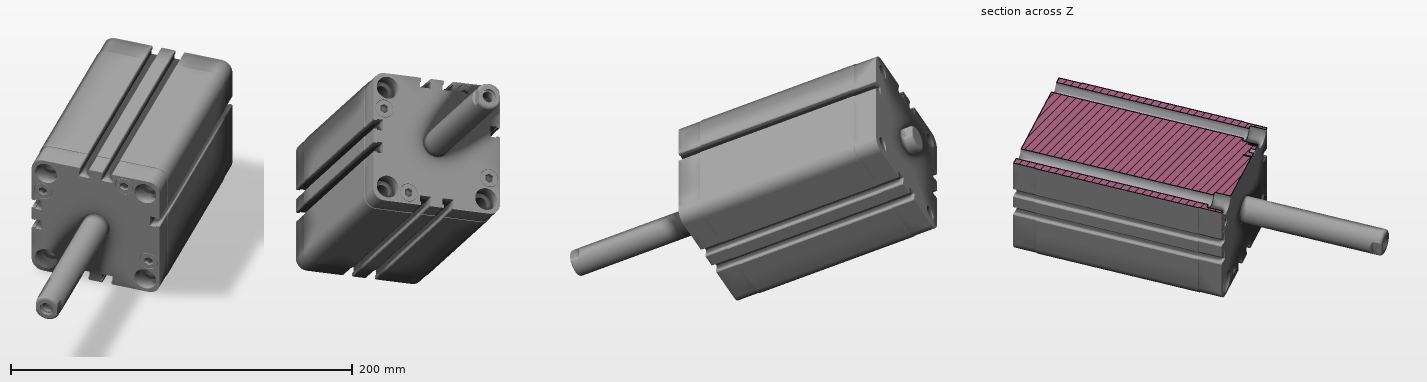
import cadquery as cq
import math

overall_length = 225
cap_length = 14.5
tube_length = 101.0
body_length = tube_length + 2 * cap_length
tube_width = 80.0
cap_width = 79.5
cap_corner_radius = 7.0
tube_corner_radius = cap_corner_radius + (tube_width - cap_width) / 2

rod_diameter = 16.0
rear_rod_length = 7.5
front_rod_length = overall_length - body_length - rear_rod_length
rod_end_radius = 1.8
flat_width = 13.0
flat_length = 5.5
rod_bore_diameter = 17.5
rod_bore_depth = 1.0

thread_diameter = 6.8
thread_depth = 12.0
thread_mouth_diameter = 8.3
thread_mouth_depth = 2.0
drill_point_angle = 118

corner_hole_offset = 30.8
corner_hole_diameter = 8.5
corner_bore_diameter = 13.5
corner_bore_depth = 10.0

screw_near_offset = 17.5
screw_far_offset = 32.8
screw_head_diameter = 10.5
screw_recess_diameter = 11.0
screw_recess_depth = 6.0
hex_across_flats = 5.0
hex_depth = 3.0

slot_mouth_width = 5.5
slot_width = 6.8
slot_lip = 2.5
slot_depth = 6.3
slot_chamfer = 0.5
slot_rib_width = 8.8
slot_pair_offset = (slot_rib_width + slot_mouth_width) / 2
single_slot_offset = 11.7

sensor_slots = [
    (offset, turn)
    for turn in (0, 180, -90)
    for offset in (-slot_pair_offset, slot_pair_offset)
]
sensor_slots.append((-single_slot_offset, 90))

cut_margin = 2.2


def plane_at(y):
    """XZ sketch plane at the given Y; extrusions run toward +Y."""
    return cq.Workplane(cq.Plane(origin=(0, y, 0), xDir=(1, 0, 0), normal=(0, -1, 0)))


def sensor_slot(offset, turn, face_height, start, length):
    """T-slot in the top side at X = offset, turned about the cylinder axis by turn degrees.

    face_height is the Z of the face whose mouth edges are chamfered.
    """
    floor = tube_width / 2 - slot_depth
    ledge = tube_width / 2 - slot_lip
    top = face_height + cut_margin
    half_slot = slot_width / 2
    half_mouth = slot_mouth_width / 2
    half_chamfer = half_mouth + slot_chamfer
    right_half = [
        (half_slot, floor),
        (half_slot, ledge),
        (half_mouth, ledge),
        (half_mouth, face_height - slot_chamfer),
        (half_chamfer, face_height),
        (half_chamfer, top),
    ]
    left_half = [(-x, z) for x, z in reversed(right_half)]
    outline = [(offset + x, z) for x, z in right_half + left_half]
    slot = plane_at(start).polyline(outline).close().extrude(-length)
    return slot.rotate((0, 0, 0), (0, 1, 0), turn)


def slotted_block(width, radius, start, length):
    """Square block along Y with rounded long edges and the sensor slots in its sides."""
    block = plane_at(start).rect(width, width).extrude(-length).edges("|Y").fillet(radius)
    for offset, turn in sensor_slots:
        block = block.cut(sensor_slot(offset, turn, width / 2, start, length))
    return block


def cylinder_body():
    tube = slotted_block(tube_width, tube_corner_radius, cap_length, tube_length)
    front_cap = slotted_block(cap_width, cap_corner_radius, 0, cap_length)
    rear_cap = slotted_block(cap_width, cap_corner_radius, cap_length + tube_length, cap_length)
    return tube.union(front_cap).union(rear_cap)


def mounting_holes():
    """Counterbored through holes in the four corners."""
    pitch = 2 * corner_hole_offset
    holes = plane_at(0).rect(pitch, pitch, forConstruction=True).vertices()
    through = holes.circle(corner_hole_diameter / 2).extrude(-body_length)
    bores = holes.circle(corner_bore_diameter / 2).extrude(-corner_bore_depth)
    return through.union(bores)


def screw_recess(turn):
    """Material removed around a socket head screw: a thin ring and the hexagon socket."""
    centre = plane_at(0).center(screw_near_offset, screw_far_offset)
    ring = (
        centre.circle(screw_recess_diameter / 2)
        .circle(screw_head_diameter / 2)
        .extrude(-screw_recess_depth)
    )
    hex_across_corners = hex_across_flats / math.cos(math.radians(30))
    socket = (
        plane_at(0)
        .transformed(offset=(screw_near_offset, screw_far_offset, 0), rotate=(0, 0, 90))
        .polygon(6, hex_across_corners)
        .extrude(-hex_depth)
    )
    socket = socket.rotate(
        (screw_near_offset, 0, screw_far_offset), (screw_near_offset, 1, screw_far_offset), -turn
    )
    return ring.union(socket).rotate((0, 0, 0), (0, 1, 0), turn)


def wrench_flat(end, inward, side):
    """Cutter for one wrench flat; inward is the Y direction from the rod end into the rod."""
    flat = flat_width / 2
    outer = rod_diameter / 2 + cut_margin
    outline = [
        (side * flat, end),
        (side * flat, end + inward * flat_length),
        (side * outer, end + inward * (flat_length + outer - flat)),
        (side * outer, end),
    ]
    return cq.Workplane("XY").polyline(outline).close().extrude(rod_diameter / 2, both=True)


def piston_rod():
    front = -front_rod_length
    rear = body_length + rear_rod_length
    rod = plane_at(front).circle(rod_diameter / 2).extrude(front - rear)
    rod = rod.faces("<Y or >Y").edges().fillet(rod_end_radius)
    for end, inward in ((front, 1), (rear, -1)):
        for side in (-1, 1):
            rod = rod.cut(wrench_flat(end, inward, side))
    return rod


def threaded_hole():
    """Counterbored blind hole with a drill point in the front rod end."""
    front = -front_rod_length
    radius = thread_diameter / 2
    mouth = thread_mouth_diameter / 2
    point_length = radius / math.tan(math.radians(drill_point_angle / 2))
    outline = [
        (0, front),
        (mouth, front),
        (mouth, front + thread_mouth_depth),
        (radius, front + thread_mouth_depth),
        (radius, front + thread_depth),
        (0, front + thread_depth + point_length),
    ]
    return cq.Workplane("XY").polyline(outline).close().revolve(360, (0, 0, 0), (0, 1, 0))


body = cylinder_body()
body = body.cut(mounting_holes())
for quarter in range(4):
    body = body.cut(screw_recess(90 * quarter))
body = body.cut(plane_at(0).circle(rod_bore_diameter / 2).extrude(-rod_bore_depth))

result = body.union(piston_rod()).cut(threaded_hole())